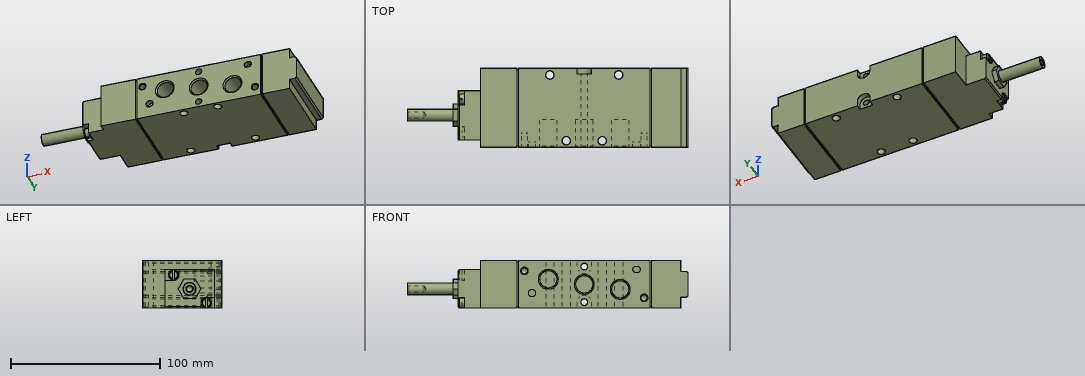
import cadquery as cq
import math


length = 188.0
depth = 53.0
height = 32.0

nut_start = 30.6
solenoid_start = 34.0
block_start = 48.9
body_start = 74.5
body_end = 162.5
cap_end = 183.1
seam_width = 1.1
seam_depth = 1.0
body_mid_x = (body_start + body_end) / 2
mid_z = height / 2

rib_height = 17.5
rib_chamfer = 1.1

solenoid_back = 38.0
solenoid_front = 4.9
solenoid_height = 26.0
face_bevel_depth = 0.8
face_bevel_height = 1.1

tube_y = 21.6
tube_z = 13.0
tube_diameter = 8.0
tube_bore = 4.0
tube_bore_mouth = 4.7
tube_bore_depth = 11.3
nut_across_flats = 13.2
nut_bore = 8.6

screw_diameter = 6.8
screw_edge_chamfer = 0.8
screw_slot_width = 1.1
screw_slot_depth = 2.6
pocket_depth = 4.1
pocket_radius = 3.8
upper_screw = (32.3, 22.4)
lower_screw = (10.3, 3.5)

port_diameter = 11.5
port_mouth = 13.3
port_depth = 18.8
port_spacing = 24.0
port_drop = 3.4

through_diameter = 4.3
through_spacing = 23.9
tapped_diameter = 4.1
tapped_mouth = 5.0
tapped_depth = 9.4
tapped_offset_x = 40.0
tapped_offset_z = 9.0
locating_offset_x = 35.0
locating_depth = 3.8
locating_diameter = 4.9
locating_hole_z = 10.2
locating_slot_z = 26.0
locating_slot_length = 5.0
locating_slot_height = 4.1

mount_diameter = 5.5
mount_front_spacing = 24.0
mount_back_spacing = 46.0
mount_inset = 4.5

recess_width = 9.4
recess_depth = 4.0

drill_point_angle = 118.0


def box(x0, x1, y0, y1, z0, z1):
    """Box between the given limits."""
    return cq.Workplane("XY").box(x1 - x0, y1 - y0, z1 - z0, centered=False).translate((x0, y0, z0))


def cylinder(diameter, start, direction, reach):
    """Cylinder that starts at a point and runs along a direction."""
    return cq.Workplane(cq.Solid.makeCylinder(diameter / 2, reach, cq.Vector(*start), cq.Vector(*direction)))


def countersink(mouth, diameter, start, direction):
    """45 degree cone that opens a hole from its diameter to its mouth."""
    reach = (mouth - diameter) / 2
    return cq.Workplane(
        cq.Solid.makeCone(mouth / 2, diameter / 2, reach, cq.Vector(*start), cq.Vector(*direction))
    )


def drilled_hole(diameter, mouth, hole_depth, start, direction):
    """Countersunk blind hole with a conical drill point."""
    point_length = diameter / 2 / math.tan(math.radians(drill_point_angle / 2))
    heading = cq.Vector(*direction)
    bottom = cq.Vector(*start) + heading * hole_depth
    point = cq.Solid.makeCone(diameter / 2, 0, point_length, bottom, heading)
    hole = cylinder(diameter, start, direction, hole_depth).union(cq.Workplane(point))
    return hole.union(countersink(mouth, diameter, start, direction))


def make_main_block():
    """Pilot block, body and end cap, parted by two shallow seams."""
    block = box(block_start, cap_end, 0, depth, 0, height)
    for seam_start in (body_start - seam_width, body_end):
        seam_end = seam_start + seam_width
        seam = box(seam_start, seam_end, 0, depth, 0, height)
        core = box(seam_start, seam_end, seam_depth, depth - seam_depth, seam_depth, height - seam_depth)
        block = block.cut(seam.cut(core))
    return block


def make_rib():
    """Chamfered rib across the end cap."""
    rib_bottom = mid_z - rib_height / 2
    rib = box(cap_end, length, 0, depth, rib_bottom, rib_bottom + rib_height)
    return rib.edges(">X and |Y").chamfer(rib_chamfer)


def make_screw(y, z):
    """Slotted screw head, flush with the solenoid face."""
    head = cylinder(screw_diameter, (solenoid_start, y, z), (1, 0, 0), pocket_depth)
    head = head.faces("<X").chamfer(screw_edge_chamfer)
    slot = box(
        solenoid_start, solenoid_start + screw_slot_depth,
        y - screw_slot_width / 2, y + screw_slot_width / 2,
        z - screw_diameter, z + screw_diameter,
    )
    return head.cut(slot)


def make_pocket(screw, side):
    """Corner pocket round a screw; side is +1 for the upper back corner, -1 for the lower front one."""
    y, z = screw
    inner_y = y - side * pocket_radius
    inner_z = z - side * pocket_radius
    outer_y = inner_y + side * depth
    outer_z = inner_z + side * height
    outline = (
        cq.Workplane("YZ", origin=(solenoid_start, 0, 0))
        .moveTo(inner_y, outer_z)
        .lineTo(inner_y, z)
        .radiusArc((y, inner_z), -pocket_radius)
        .lineTo(outer_y, inner_z)
        .lineTo(outer_y, outer_z)
        .close()
    )
    return outline.extrude(pocket_depth)


def make_solenoid():
    """Solenoid with a bevelled face and two screws in corner pockets."""
    solenoid = box(solenoid_start, block_start, solenoid_front, solenoid_back, 0, solenoid_height)
    for edge_z, inward in ((0, 1), (solenoid_height, -1)):
        bevel = (
            cq.Workplane("XZ")
            .moveTo(solenoid_start, edge_z)
            .lineTo(solenoid_start + face_bevel_depth, edge_z)
            .lineTo(solenoid_start, edge_z + inward * face_bevel_height)
            .close()
            .extrude(-depth)
        )
        solenoid = solenoid.cut(bevel)
    for screw, side in ((upper_screw, 1), (lower_screw, -1)):
        solenoid = solenoid.cut(make_pocket(screw, side)).union(make_screw(*screw))
    return solenoid


def make_tube_and_nut():
    """Guide tube with a blind bore in its tip, inside a hex nut with a clearance bore."""
    nut_across_corners = nut_across_flats / math.cos(math.radians(30))
    nut = (
        cq.Workplane("YZ", origin=(nut_start, tube_y, tube_z))
        .polygon(6, nut_across_corners)
        .extrude(solenoid_start - nut_start)
    )
    nut = nut.cut(cylinder(nut_bore, (nut_start, tube_y, tube_z), (1, 0, 0), solenoid_start - nut_start))
    tip = (0, tube_y, tube_z)
    tube = cylinder(tube_diameter, tip, (1, 0, 0), solenoid_start)
    bore = drilled_hole(tube_bore, tube_bore_mouth, tube_bore_depth, tip, (1, 0, 0))
    return nut.union(tube.cut(bore))


def cut_ports(part):
    """Three countersunk ports, stepping down along the front face."""
    for step in (-1, 0, 1):
        mouth = (body_mid_x + step * port_spacing, 0, mid_z - step * port_drop)
        part = part.cut(cylinder(port_diameter, mouth, (0, 1, 0), port_depth))
        part = part.cut(countersink(port_mouth, port_diameter, mouth, (0, 1, 0)))
    return part


def cut_front_holes(part):
    """Through holes, tapped holes and the locating hole and slot of the front face."""
    for side in (-1, 1):
        through = (body_mid_x, 0, mid_z + side * through_spacing / 2)
        part = part.cut(cylinder(through_diameter, through, (0, 1, 0), depth))
        tapped = (body_mid_x + side * tapped_offset_x, 0, mid_z - side * tapped_offset_z)
        part = part.cut(drilled_hole(tapped_diameter, tapped_mouth, tapped_depth, tapped, (0, 1, 0)))
    hole = (body_mid_x - locating_offset_x, 0, locating_hole_z)
    part = part.cut(cylinder(locating_diameter, hole, (0, 1, 0), locating_depth))
    slot = (
        cq.Workplane("XZ", origin=(body_mid_x + locating_offset_x, 0, locating_slot_z))
        .slot2D(locating_slot_length, locating_slot_height)
        .extrude(-locating_depth)
    )
    return part.cut(slot)


def cut_mounting_holes(part):
    """Two pairs of vertical through holes, close to the front and back faces."""
    for y, spacing in ((mount_inset, mount_front_spacing), (depth - mount_inset, mount_back_spacing)):
        for side in (-1, 1):
            start = (body_mid_x + side * spacing / 2, y, 0)
            part = part.cut(cylinder(mount_diameter, start, (0, 0, 1), height))
    return part


def cut_back_recesses(part):
    """Seats for the front-to-back screws, rounded about each hole and open at the nearest edge."""
    for side in (-1, 1):
        hole_z = mid_z + side * through_spacing / 2
        centre = (body_mid_x, depth, hole_z)
        part = part.cut(cylinder(recess_width, centre, (0, -1, 0), recess_depth))
        edge_z = mid_z + side * height / 2
        opening = box(
            body_mid_x - recess_width / 2, body_mid_x + recess_width / 2,
            depth - recess_depth, depth,
            min(hole_z, edge_z), max(hole_z, edge_z),
        )
        part = part.cut(opening)
    return part


valve = make_main_block().union(make_rib()).union(make_solenoid()).union(make_tube_and_nut())
valve = cut_ports(valve)
valve = cut_front_holes(valve)
valve = cut_mounting_holes(valve)
result = cut_back_recesses(valve)